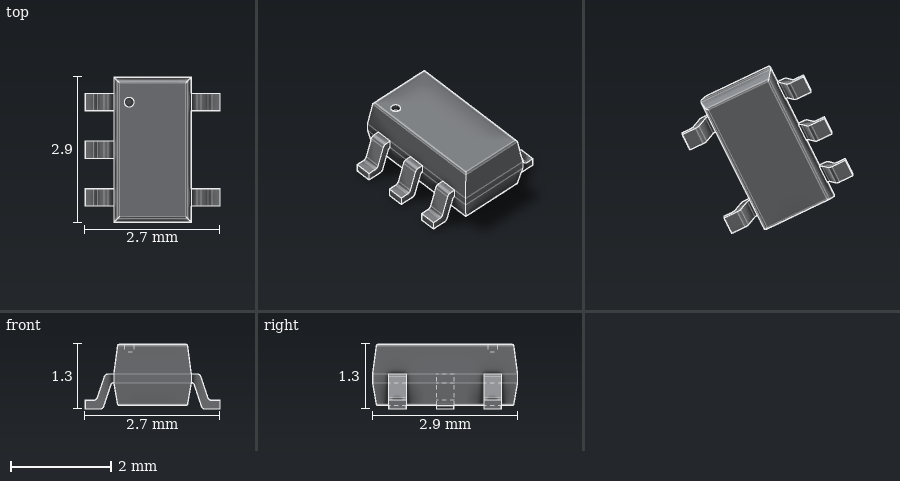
import cadquery as cq
import math

SPAN_X = 2.7
HEIGHT = 1.3

HOUSING_X = 1.552
HOUSING_Y = 2.9
HOUSING_BOTTOM = 0.075
DRAFT_INSET = 0.078
EDGE_RADIUS = 0.04

MARK_DIAMETER = 0.195
MARK_DEPTH = 0.15
MARK_X = -0.467
MARK_Y = 0.95

LEAD_THICKNESS = 0.18
LEAD_WIDTH = 0.35
LEAD_PITCH = 0.95
LEAD_TOP = 0.708
LEG_ANGLE = 18.5
SHOULDER_LENGTH = 0.17
BEND_RADIUS = 0.085
WALL_BEND_RADIUS = 0.05

BAND_BOTTOM = LEAD_TOP - LEAD_THICKNESS


def tapered_half(band_z, end_z):
    """Half of the housing that narrows from the band to a rounded end face."""
    half = (
        cq.Workplane("XY", origin=(0, 0, band_z))
        .rect(HOUSING_X, HOUSING_Y)
        .workplane(offset=end_z - band_z)
        .rect(HOUSING_X - 2 * DRAFT_INSET, HOUSING_Y - 2 * DRAFT_INSET)
        .loft(ruled=True)
    )
    end_face = ">Z" if end_z > band_z else "<Z"
    return half.faces(end_face).edges().fillet(EDGE_RADIUS)


def make_housing():
    """Moulded housing: straight band, two tapered halves and the pin 1 mark."""
    band = (
        cq.Workplane("XY", origin=(0, 0, BAND_BOTTOM))
        .rect(HOUSING_X, HOUSING_Y)
        .extrude(LEAD_THICKNESS)
    )
    upper = tapered_half(LEAD_TOP, HEIGHT)
    lower = tapered_half(BAND_BOTTOM, HOUSING_BOTTOM)
    mark = (
        cq.Workplane("XY", origin=(MARK_X, MARK_Y, HEIGHT))
        .circle(MARK_DIAMETER / 2)
        .extrude(-MARK_DEPTH)
    )
    return band.union(upper).union(lower).cut(mark)


def make_lead(side, y):
    """Gull-wing lead against the housing wall; side is -1 for -X, +1 for +X."""
    wall = HOUSING_X / 2
    toe = SPAN_X / 2
    shoulder = wall + SHOULDER_LENGTH
    lean = math.tan(math.radians(LEG_ANGLE))
    leg_width = LEAD_THICKNESS / math.cos(math.radians(LEG_ANGLE))
    instep = shoulder + lean * (LEAD_TOP - LEAD_THICKNESS)
    heel = shoulder + lean * LEAD_TOP - leg_width
    armpit = shoulder + lean * LEAD_THICKNESS - leg_width
    outline = [
        (wall, LEAD_TOP),
        (shoulder, LEAD_TOP),
        (instep, LEAD_THICKNESS),
        (toe, LEAD_THICKNESS),
        (toe, 0),
        (heel, 0),
        (armpit, BAND_BOTTOM),
        (wall, BAND_BOTTOM),
    ]
    lead = (
        cq.Workplane("XZ", origin=(0, y, 0))
        .polyline([(side * x, z) for x, z in outline])
        .close()
        .extrude(LEAD_WIDTH / 2, both=True)
    )
    bends = [
        (shoulder, LEAD_TOP, BEND_RADIUS),
        (instep, LEAD_THICKNESS, BEND_RADIUS),
        (heel, 0, BEND_RADIUS),
        (armpit, BAND_BOTTOM, WALL_BEND_RADIUS),
    ]
    for x, z, radius in bends:
        corner = cq.NearestToPointSelector((side * x, y, z))
        lead = lead.edges("|Y").edges(corner).fillet(radius)
    return lead


LEAD_ROWS = {-1: (-LEAD_PITCH, 0, LEAD_PITCH), 1: (-LEAD_PITCH, LEAD_PITCH)}

housing = make_housing()
leads = [make_lead(side, y) for side, row in LEAD_ROWS.items() for y in row]

result = cq.Compound.makeCompound([housing.val(), *[lead.val() for lead in leads]])